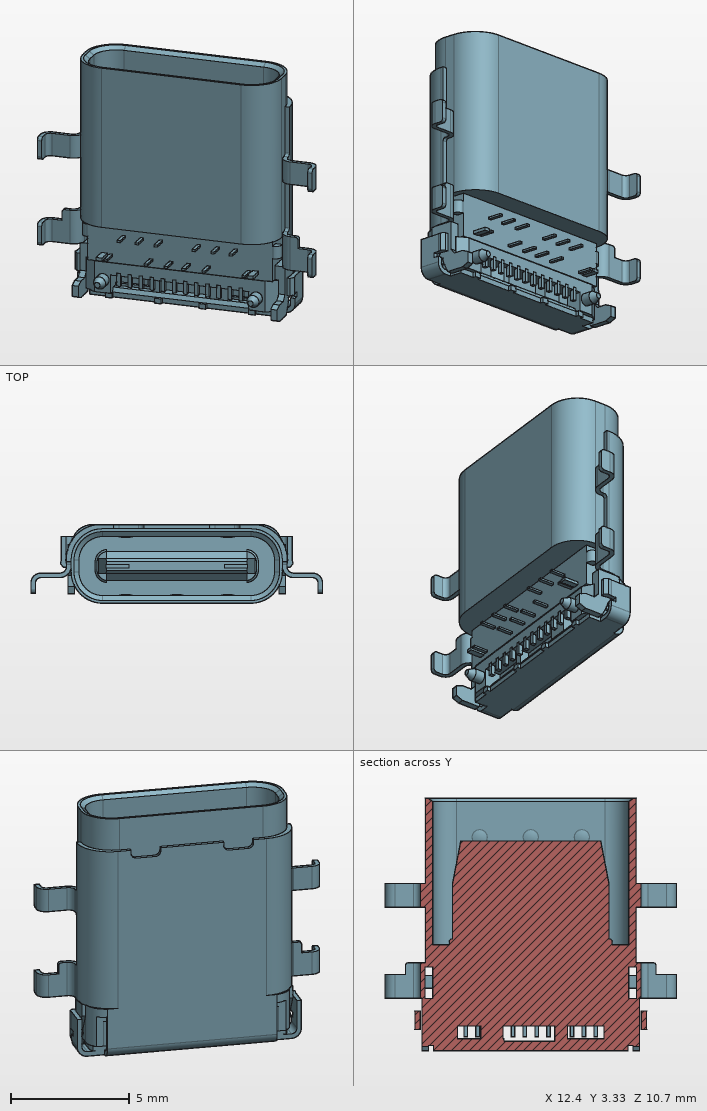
import cadquery as cq
import math

HEIGHT = 10.7
SHEET = 0.2

SHELL_HALF_X = 4.47
SHELL_HALF_Y = 1.58
SHELL_RADIUS = 1.33
SHELL_WALL = 0.33
SHELL_BOTTOM = 3.55
RIM_FLAT = 0.12
RIM_DEPTH = 0.15

FLOOR_Z = 4.5
TONGUE_TOP = 8.89
UPPER_HALF_X = 4.15
UPPER_FRONT = -0.5
BLOCK_TOP = 1.6
BLOCK_HALF_X = 4.32
BLOCK_FRONT = -0.53

COVER_TOP = 9.29
COVER_BOTTOM = 2.22
COVER_EDGE = 0.2
COVER_HALF_X = SHELL_HALF_X + SHEET
COVER_BACK = 1.75

ROOT_BEND = 0.28
TIP_BEND = 0.22
FOOT_TIP_X = 6.18
FOOT_TOP_Y = -0.3
FOOT_TIP_Y = -1.16
FOOT_HEIGHT = 1.01
FOOT_BOTTOMS = (COVER_BOTTOM, 6.08)

CONTACT_COUNT = 12
CONTACT_SPAN = 5.5
PITCH = CONTACT_SPAN / (CONTACT_COUNT - 1)


def block(x0, x1, y0, y1, z0, z1):
    """Axis-aligned box between two corners."""
    return cq.Workplane("XY").box(x1 - x0, y1 - y0, z1 - z0, centered=False).translate((x0, y0, z0))


def oblong(half_x, half_y, radius, z0, z1):
    """Upright prism with four rounded corners."""
    prism = block(-half_x, half_x, -half_y, half_y, z0, z1)
    return prism.edges("|Z").fillet(radius)


def both_sides(body):
    """The body together with its mirror image across X = 0."""
    return body.union(body.mirror("YZ"))


CAVITY_HALF_X = SHELL_HALF_X - SHELL_WALL
CAVITY_HALF_Y = SHELL_HALF_Y - SHELL_WALL
CAVITY_RADIUS = SHELL_RADIUS - SHELL_WALL


def make_shell():
    outside = oblong(SHELL_HALF_X, SHELL_HALF_Y, SHELL_RADIUS, SHELL_BOTTOM, HEIGHT)
    cavity = oblong(CAVITY_HALF_X, CAVITY_HALF_Y, CAVITY_RADIUS, SHELL_BOTTOM, HEIGHT)
    return outside.cut(cavity)


def make_rim_chamfer():
    """Funnel-shaped cutter that opens the mouth of the cavity."""
    width = SHELL_WALL - RIM_FLAT
    slope = math.degrees(math.atan2(width, RIM_DEPTH))
    mouth = (
        cq.Workplane("XY")
        .workplane(offset=HEIGHT)
        .sketch()
        .rect(2 * (SHELL_HALF_X - RIM_FLAT), 2 * (SHELL_HALF_Y - RIM_FLAT))
        .vertices()
        .fillet(SHELL_RADIUS - RIM_FLAT)
        .finalize()
    )
    return mouth.extrude(-RIM_DEPTH, taper=slope)


DIMPLE_Z = 9.04
DIMPLE_X = 2.16
DIMPLE_DEPTH = 0.05
DIMPLE_RADIUS = 0.32


def make_dimples():
    """Shallow domes on the two long cavity walls."""
    ball_radius = (DIMPLE_RADIUS**2 + DIMPLE_DEPTH**2) / (2 * DIMPLE_DEPTH)
    ball_y = CAVITY_HALF_Y - DIMPLE_DEPTH + ball_radius
    rear = [(-DIMPLE_X, ball_y), (DIMPLE_X, ball_y)]
    front = [(-DIMPLE_X, -ball_y), (0, -ball_y), (DIMPLE_X, -ball_y)]
    balls = cq.Workplane("XY", origin=(0, 0, DIMPLE_Z)).pushPoints(rear + front).sphere(ball_radius)
    cavity = oblong(CAVITY_HALF_X, CAVITY_HALF_Y, CAVITY_RADIUS, FLOOR_Z, HEIGHT)
    return balls.intersect(cavity)


TONGUE_HALF_X = 3.32
TONGUE_HALF_Y = 0.32
TONGUE_TIP_HALF_X = 2.96
TONGUE_TIP_HALF_Y = 0.2
TONGUE_TIP_LENGTH = 0.17
TONGUE_END_LENGTH = 1.85
ROOT_HALF_Y = 0.62
ROOT_HEIGHT = 0.32
COLLAR_HALF_X = 3.46
COLLAR_HALF_Y = 0.7
COLLAR_RADIUS = 0.54
COLLAR_HEIGHT = 0.25
COLLAR_CHAMFER = 0.09
SLIT_INNER_X = 2.03
SLIT_HALF_Y = 0.07
SLIT_DEPTH = 0.12


def tapered_prism(half_x, base_y, top_y, bottom, top):
    """Prism along X with a trapezoid section, centred on the shell axis."""
    return (
        cq.Workplane("YZ", origin=(-half_x, 0, 0))
        .moveTo(-base_y, bottom)
        .lineTo(base_y, bottom)
        .lineTo(top_y, top)
        .lineTo(-top_y, top)
        .close()
        .extrude(2 * half_x)
    )


def make_tongue():
    shoulder = TONGUE_TOP - TONGUE_TIP_LENGTH
    blade = block(-TONGUE_HALF_X, TONGUE_HALF_X, -TONGUE_HALF_Y, TONGUE_HALF_Y, FLOOR_Z, shoulder)
    tip = tapered_prism(TONGUE_HALF_X, TONGUE_HALF_Y, TONGUE_TIP_HALF_Y, shoulder, TONGUE_TOP)
    end_wedge = (
        cq.Workplane("XZ", origin=(0, TONGUE_HALF_Y, 0))
        .moveTo(TONGUE_HALF_X, TONGUE_TOP - TONGUE_END_LENGTH)
        .lineTo(TONGUE_HALF_X, TONGUE_TOP)
        .lineTo(TONGUE_TIP_HALF_X, TONGUE_TOP)
        .close()
        .extrude(2 * TONGUE_HALF_Y)
    )
    slit = block(SLIT_INNER_X, TONGUE_HALF_X, -SLIT_HALF_Y, SLIT_HALF_Y, TONGUE_TOP - SLIT_DEPTH, TONGUE_TOP)
    blade = blade.union(tip).cut(both_sides(end_wedge)).cut(both_sides(slit))
    root = tapered_prism(TONGUE_TIP_HALF_X, ROOT_HALF_Y, TONGUE_HALF_Y, FLOOR_Z, FLOOR_Z + ROOT_HEIGHT)
    collar = oblong(COLLAR_HALF_X, COLLAR_HALF_Y, COLLAR_RADIUS, FLOOR_Z, FLOOR_Z + COLLAR_HEIGHT)
    collar = collar.faces(">Z").chamfer(COLLAR_CHAMFER)
    middle = block(
        -TONGUE_TIP_HALF_X, TONGUE_TIP_HALF_X, -COLLAR_HALF_Y, COLLAR_HALF_Y, FLOOR_Z, FLOOR_Z + COLLAR_HEIGHT
    )
    return blade.union(root).union(collar.cut(middle))


BLOCK_BOTTOM = 0.22
PLATE_FRONT = -0.32
BLOCK_HEEL_Z = 0.51
BLOCK_HEEL_Y = 1.26
BLOCK_BACK_RADIUS = 0.68
BLOCK_FLAT_HALF_X = 3.84
BLOCK_CHAMFER_Y = 0.31
WINDOW_HALF_X = 3.1
WINDOW_TOP = 1.05
WINDOW_SILL = 0.41
SHELF_TOP = 0.52
SHELF_FRONT = 0.06
SHELVES = ((-WINDOW_HALF_X, -1.01), (1.12, WINDOW_HALF_X))
WINDOW_BACK = 0.21
SILL_LIP_Y = 0.11
RIB_DEPTH = 0.43
RIBS = (
    (-1.68, -1.31, -1.01),
    (1.12, 1.24, 2.12),
)
LATCH_BOTTOM = 2.64
LATCH_TOP = 3.2
LATCH_BACK = -0.12
LATCH_RADIUS = 0.3


def make_upper_insulator():
    plug = oblong(CAVITY_HALF_X, CAVITY_HALF_Y, CAVITY_RADIUS, SHELL_BOTTOM, FLOOR_Z)
    body = oblong(SHELL_HALF_X, SHELL_HALF_Y, SHELL_RADIUS, BLOCK_TOP, SHELL_BOTTOM)
    limits = block(-UPPER_HALF_X, UPPER_HALF_X, UPPER_FRONT, SHELL_HALF_Y, BLOCK_TOP, SHELL_BOTTOM)
    latch = block(0, SHELL_HALF_X, UPPER_FRONT, LATCH_BACK, LATCH_BOTTOM, LATCH_TOP)
    latch = latch.edges("|Z and >X and <Y").fillet(LATCH_RADIUS)
    return plug.union(body.intersect(limits)).union(both_sides(latch))


def make_lower_insulator():
    side_y = BLOCK_FRONT + BLOCK_CHAMFER_Y
    base = (
        cq.Workplane("XY", origin=(0, 0, BLOCK_BOTTOM))
        .moveTo(-BLOCK_FLAT_HALF_X, BLOCK_FRONT)
        .lineTo(BLOCK_FLAT_HALF_X, BLOCK_FRONT)
        .lineTo(BLOCK_HALF_X, side_y)
        .lineTo(BLOCK_HALF_X, SHELL_HALF_Y)
        .lineTo(-BLOCK_HALF_X, SHELL_HALF_Y)
        .lineTo(-BLOCK_HALF_X, side_y)
        .close()
        .extrude(BLOCK_TOP - BLOCK_BOTTOM)
        .edges("|Z and >Y")
        .fillet(BLOCK_BACK_RADIUS)
    )
    heel = block(-BLOCK_HALF_X, BLOCK_HALF_X, BLOCK_HEEL_Y, SHELL_HALF_Y, BLOCK_BOTTOM, BLOCK_HEEL_Z)
    window = (
        cq.Workplane("YZ", origin=(-WINDOW_HALF_X, 0, 0))
        .moveTo(BLOCK_FRONT, WINDOW_TOP)
        .lineTo(WINDOW_BACK, WINDOW_TOP)
        .lineTo(WINDOW_BACK, WINDOW_SILL)
        .lineTo(PLATE_FRONT + SILL_LIP_Y, WINDOW_SILL)
        .lineTo(PLATE_FRONT, BLOCK_BOTTOM)
        .lineTo(BLOCK_FRONT, BLOCK_BOTTOM)
        .close()
        .extrude(2 * WINDOW_HALF_X)
    )
    base = base.cut(heel).cut(window)
    for left, right in SHELVES:
        base = base.union(block(left, right, SHELF_FRONT, WINDOW_BACK, WINDOW_SILL, SHELF_TOP))
    for foot_x, top_x, end_x in RIBS:
        rib = (
            cq.Workplane("XY", origin=(0, WINDOW_BACK, WINDOW_SILL))
            .moveTo(foot_x, 0)
            .lineTo(end_x, 0)
            .lineTo(end_x, -RIB_DEPTH)
            .lineTo(top_x, -RIB_DEPTH)
            .close()
            .extrude(WINDOW_TOP - WINDOW_SILL)
        )
        base = base.union(rib)
    return base


POST_X = 3.45
POST_Z = 0.8
POST_RADIUS = 0.27
POST_TIP_RADIUS = 0.12
POST_SHOULDER_Y = -0.98
POST_TIP_Y = -1.27


def make_posts():
    """Locating posts with conical tips on the front of the insulator."""
    post = (
        cq.Workplane("XY")
        .moveTo(0, WINDOW_BACK)
        .lineTo(POST_RADIUS, WINDOW_BACK)
        .lineTo(POST_RADIUS, POST_SHOULDER_Y)
        .lineTo(POST_TIP_RADIUS, POST_TIP_Y)
        .lineTo(0, POST_TIP_Y)
        .close()
        .revolve(360, (0, 0, 0), (0, 1, 0))
        .translate((POST_X, 0, POST_Z))
    )
    return both_sides(post)


TAIL_WIDTH = 0.16
TAIL_TOP = 1.17
TAIL_BOTTOM = 0.59
TAIL_FRONT = BLOCK_FRONT - 0.01
TAIL_BACK = -0.37
PIN_WIDTH = 0.15
PIN_HEIGHT = 0.09
PIN_Z_LOWER = 1.94
PIN_Z_UPPER = 2.84
PIN_TIP_Y = -1.17
LOWER_PIN_XS = (0.4, 1.3, 3.1)
UPPER_PIN_XS = (0.85, 1.7, 2.52)
WIDE_PIN_X = 3.4
WIDE_PIN_WIDTH = 0.27
WIDE_PIN_HEIGHT = 0.14


def make_pin(x, z, width, height):
    return block(x - width / 2, x + width / 2, PIN_TIP_Y, UPPER_FRONT, z - height / 2, z + height / 2)


def make_contacts():
    pins = make_pin(WIDE_PIN_X, PIN_Z_LOWER, WIDE_PIN_WIDTH, WIDE_PIN_HEIGHT)
    for x in LOWER_PIN_XS:
        pins = pins.union(make_pin(x, PIN_Z_LOWER, PIN_WIDTH, PIN_HEIGHT))
    for x in UPPER_PIN_XS:
        pins = pins.union(make_pin(x, PIN_Z_UPPER, PIN_WIDTH, PIN_HEIGHT))
    contacts = both_sides(pins)
    for index in range(CONTACT_COUNT):
        x = index * PITCH - CONTACT_SPAN / 2
        half = TAIL_WIDTH / 2
        contacts = contacts.union(block(x - half, x + half, TAIL_FRONT, TAIL_BACK, TAIL_BOTTOM, TAIL_TOP))
    return contacts


COVER_RADIUS = 1.43
NOTCH_X = 2.03
NOTCH_WIDTH = 1.3
NOTCH_DEPTH = 0.37
NOTCH_RADIUS = 0.23


def make_cover():
    outside = block(-COVER_HALF_X, COVER_HALF_X, -COVER_BACK, COVER_BACK, COVER_BOTTOM, COVER_TOP)
    outside = outside.edges("|Z").fillet(COVER_RADIUS)
    inside = oblong(SHELL_HALF_X, SHELL_HALF_Y, SHELL_RADIUS, COVER_BOTTOM, COVER_TOP)
    rear = block(-COVER_HALF_X, COVER_HALF_X, COVER_EDGE, COVER_BACK, COVER_BOTTOM, COVER_TOP)
    left = NOTCH_X - NOTCH_WIDTH / 2
    notch = block(left, left + NOTCH_WIDTH, SHELL_HALF_Y, COVER_BACK, COVER_TOP - NOTCH_DEPTH, COVER_TOP)
    notch = notch.edges("|Y and <Z").fillet(NOTCH_RADIUS)
    return outside.cut(inside).intersect(rear).cut(both_sides(notch))


FOOT_TIP_RADIUS = 0.15
BASE_TOP = 3.73
BASE_END_X = 5.31
BASE_RADIUS = 0.12


def make_foot(bottom, top):
    """S-bent strip: down the cover side, outward, then forward to the tip."""
    root_outer = ROOT_BEND + SHEET
    tip_outer = TIP_BEND + SHEET
    root_x = COVER_HALF_X + ROOT_BEND
    root_y = FOOT_TOP_Y + ROOT_BEND
    tip_x = FOOT_TIP_X - tip_outer
    tip_y = FOOT_TOP_Y - tip_outer
    diagonal = math.sqrt(0.5)
    return (
        cq.Workplane("XY", origin=(0, 0, bottom))
        .moveTo(COVER_HALF_X, COVER_EDGE)
        .lineTo(COVER_HALF_X, root_y)
        .threePointArc(
            (root_x - ROOT_BEND * diagonal, root_y - ROOT_BEND * diagonal), (root_x, FOOT_TOP_Y)
        )
        .lineTo(tip_x, FOOT_TOP_Y)
        .threePointArc((tip_x + tip_outer * diagonal, tip_y + tip_outer * diagonal), (FOOT_TIP_X, tip_y))
        .lineTo(FOOT_TIP_X, FOOT_TIP_Y)
        .lineTo(FOOT_TIP_X - SHEET, FOOT_TIP_Y)
        .lineTo(FOOT_TIP_X - SHEET, tip_y)
        .threePointArc(
            (tip_x + TIP_BEND * diagonal, tip_y + TIP_BEND * diagonal), (tip_x, FOOT_TOP_Y - SHEET)
        )
        .lineTo(root_x, FOOT_TOP_Y - SHEET)
        .threePointArc(
            (root_x - root_outer * diagonal, root_y - root_outer * diagonal), (SHELL_HALF_X, root_y)
        )
        .lineTo(SHELL_HALF_X, COVER_EDGE)
        .close()
        .extrude(top - bottom)
    )


def make_feet():
    root_bottom = FOOT_BOTTOMS[0]
    reach = block(0, BASE_END_X, FOOT_TIP_Y, COVER_EDGE, root_bottom, BASE_TOP)
    reach = reach.edges("|Y and >X and >Z").fillet(BASE_RADIUS)
    feet = make_foot(root_bottom, BASE_TOP).intersect(reach)
    for bottom in FOOT_BOTTOMS:
        foot = make_foot(bottom, bottom + FOOT_HEIGHT)
        feet = feet.union(foot.edges("|X and <Y").fillet(FOOT_TIP_RADIUS))
    return both_sides(feet)


CORNER_RADIUS = 0.12


def make_cover_with_feet():
    """Cover and feet in one sheet, with rounded inside corners at the foot roots."""
    sheet = make_cover().union(make_feet())
    reach = COVER_HALF_X + SHEET
    for z in (BASE_TOP, FOOT_BOTTOMS[1], FOOT_BOTTOMS[1] + FOOT_HEIGHT):
        low = (-reach, COVER_EDGE - CORNER_RADIUS / 2, z - CORNER_RADIUS / 2)
        high = (reach, COVER_EDGE + CORNER_RADIUS / 2, z + CORNER_RADIUS / 2)
        corner = cq.selectors.BoxSelector(low, high)
        sheet = sheet.edges("|X").edges(corner).fillet(CORNER_RADIUS)
    return sheet


LEG_OUTER_X = 4.61
BAND_HALF_X = 4.45
BAND_BOTTOM = 1.85
BAND_FRONT = -0.19
BAND_RADIUS = 0.86
STRAP_HALF_X = 3.7
STRAP_BEND = 0.43
PLATE_HALF_X = 4.12
PLATE_THICKNESS = 0.21
TAB_XS = (1.0, 3.21)
TAB_WIDTH = 0.3
TAB_LENGTH = 0.15


def make_band():
    """Collar under the cover, open at the window; below its rear rim it is trimmed flush with the strap."""
    band = block(-BAND_HALF_X, BAND_HALF_X, BAND_FRONT, COVER_BACK, BLOCK_HEEL_Z, COVER_BOTTOM)
    band = band.edges("|Z and >Y").fillet(BAND_RADIUS)
    trim_y = COVER_BACK - SHEET
    band = band.cut(block(-WINDOW_HALF_X, WINDOW_HALF_X, BAND_FRONT, WINDOW_BACK, BLOCK_HEEL_Z, WINDOW_TOP))
    return band.cut(block(-BAND_HALF_X, BAND_HALF_X, trim_y, COVER_BACK, BLOCK_HEEL_Z, BAND_BOTTOM))


def make_strap_and_plate():
    """Rear strap bent under the insulator into the bottom plate."""
    strap = block(-STRAP_HALF_X, STRAP_HALF_X, 0, COVER_BACK, 0, COVER_BOTTOM)
    strap = strap.edges("|X and >Y and <Z").fillet(STRAP_BEND)
    hollow = block(-STRAP_HALF_X, STRAP_HALF_X, 0, COVER_BACK - SHEET, PLATE_THICKNESS, COVER_BOTTOM)
    hollow = hollow.edges("|X and >Y and <Z").fillet(STRAP_BEND - SHEET)
    plate = block(-PLATE_HALF_X, PLATE_HALF_X, PLATE_FRONT, BLOCK_HEEL_Y, 0, BLOCK_BOTTOM)
    for x in TAB_XS:
        tab = block(x - TAB_WIDTH / 2, x + TAB_WIDTH / 2, PLATE_FRONT - TAB_LENGTH, 0, 0, BLOCK_BOTTOM)
        plate = plate.union(both_sides(tab))
    return strap.cut(hollow).union(plate)


LEG_PROFILE = (
    (BAND_FRONT, COVER_BOTTOM),
    (BAND_FRONT, 0.98),
    (-0.4, 0.74),
    (-0.86, 0.74),
    (-1.17, 0.62),
    (-1.17, 0.14),
    (-0.86, 0),
    (0, 0),
    (0.27, 0.54),
    (0.28, 0.69),
    (0.47, 0.69),
    (0.52, 0.79),
    (0.43, 0.91),
    (0.9, 1.69),
    (0.9, COVER_BOTTOM),
)


def make_legs():
    leg = (
        cq.Workplane("YZ", origin=(BLOCK_HALF_X, 0, 0))
        .polyline(LEG_PROFILE)
        .close()
        .extrude(LEG_OUTER_X - BLOCK_HALF_X)
    )
    return both_sides(leg)


FLAP_OUTER_X = 4.89
FLAP_TOP = 1.69
FLAP_FRONT = 0.27
FLAP_BEND = 0.43
HOOK_BOTTOM = 0.9
HOOK_BULGE = 0.04
HOOK_FRONT = -0.06
FLAP_GAP_BACK = 0.52
FLAP_GAP_BOTTOM = 0.69


def make_flaps():
    """Side flaps bent up from the bottom plate, each with a hooked front end."""
    flap = block(0, FLAP_OUTER_X, FLAP_FRONT, BLOCK_HEEL_Y, 0, FLAP_TOP)
    flap = flap.edges("|Y and >X and <Z").fillet(FLAP_BEND)
    hollow = block(0, FLAP_OUTER_X - SHEET, FLAP_FRONT, BLOCK_HEEL_Y, PLATE_THICKNESS, FLAP_TOP)
    hollow = hollow.edges("|Y and >X and <Z").fillet(FLAP_BEND - SHEET)
    hook = (
        cq.Workplane("XY", origin=(FLAP_OUTER_X, 0, HOOK_BOTTOM))
        .moveTo(0, FLAP_FRONT)
        .lineTo(HOOK_BULGE, (FLAP_FRONT + HOOK_FRONT) / 2)
        .lineTo(-SHEET / 2, HOOK_FRONT)
        .lineTo(-SHEET - HOOK_BULGE, HOOK_FRONT)
        .lineTo(-SHEET, FLAP_FRONT)
        .close()
        .extrude(FLAP_TOP - HOOK_BOTTOM)
    )
    gap = block(LEG_OUTER_X, FLAP_OUTER_X, FLAP_FRONT, FLAP_GAP_BACK, FLAP_GAP_BOTTOM, HOOK_BOTTOM)
    return both_sides(flap.cut(hollow).cut(gap).union(hook))


result = make_shell().cut(make_rim_chamfer())
for piece in (
    make_dimples(),
    make_upper_insulator(),
    make_tongue(),
    make_lower_insulator(),
    make_posts(),
    make_contacts(),
    make_cover_with_feet(),
    make_band(),
    make_strap_and_plate(),
    make_legs(),
    make_flaps(),
):
    result = result.union(piece)